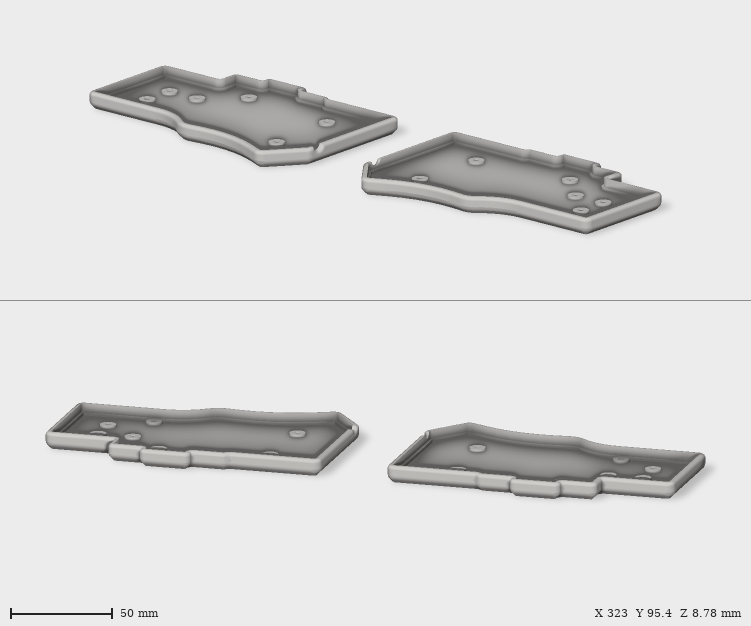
import cadquery as cq
import math

height = 8.78
floor_height = 3.0
ledge_height = 4.6
boss_height = 1.5

rim_fillet = 1.75
base_chamfer = 2.78
chamfer_blend = 2.75
wall_inset = 2.7
floor_inset = 4.0

x_left = -161.5
x_right = -17.0
y_bump = 47.65
y_ledge = 42.9
y_top = 41.0
y_shoulder = 31.15
y_bottom = -28.0
y_slant = -27.7
x_step = -125.4
x_bump_left = -107.9
x_bump_right = -82.1
x_ledge_end = -64.3
ledge_half_run = 1.3
x_ledge_high = x_ledge_end - ledge_half_run
x_ledge_low = x_ledge_end + ledge_half_run
corner_radius = 4.0
tip_radius = 4.7
bump_radius = 3.0
inner_radius = 1.0

bend_start = (-116.6, y_bottom)
shoulder_radius = 30.0
shoulder_angle = 41.0
hollow_radius = 12.0
rise_angle = 5.9
rise_length = 6.8
arch_radius = 69.5
fall_angle = 25.05
tip_run = 12.19

notch_y = -21.1
notch_radius = 3.5
notch_axis_height = height + 0.8
notch_reach = 10.0

boss_diameter = 8.05
hole_diameter = 3.25
hole_depth = 3.0
boss_root = 0.5
boss_centres = [
    (-139.9, 9.9),
    (-122.1, 9.9),
    (-139.9, -7.1),
    (-103.6, 27.4),
    (-48.2, 21.5),
    (-119.9, -19.2),
    (-46.2, -19.1),
]

pick = 0.1
height_pick = 0.01
far = 500.0
overshoot = 1.0


def arc_step(start, heading, turn, radius):
    """Middle and end of an arc that leaves start along heading and turns by turn (degrees)."""
    side = math.copysign(1, turn)
    first = math.radians(heading)

    def point(angle):
        last = math.radians(heading + angle)
        x = start[0] + side * radius * (math.sin(last) - math.sin(first))
        y = start[1] - side * radius * (math.cos(last) - math.cos(first))
        return (x, y)

    return point(turn / 2), point(turn)


def line_step(start, heading, length):
    """End of a straight line of the given length along heading (degrees)."""
    angle = math.radians(heading)
    return (start[0] + length * math.cos(angle), start[1] + length * math.sin(angle))


shoulder_mid, shoulder_end = arc_step(bend_start, 0, -shoulder_angle, shoulder_radius)
hollow_mid, hollow_end = arc_step(
    shoulder_end, -shoulder_angle, shoulder_angle + rise_angle, hollow_radius
)
rise_end = line_step(hollow_end, rise_angle, rise_length)
arch_mid, arch_end = arc_step(rise_end, rise_angle, -rise_angle - fall_angle, arch_radius)
tip = line_step(arch_end, -fall_angle, tip_run)


def round_corners(prism, corners, radius):
    """Round the upright edges of the prism that stand at the given corners."""
    for x, y in corners:
        column = cq.selectors.BoxSelector(
            (x - pick, y - pick, -overshoot), (x + pick, y + pick, height + overshoot)
        )
        prism = prism.edges("|Z").edges(column).fillet(radius)
    return prism


def make_blank():
    """Full-height prism of the tray outline with its corners rounded."""
    prism = (
        cq.Workplane("XY")
        .moveTo(x_left, y_bottom)
        .lineTo(*bend_start)
        .threePointArc(shoulder_mid, shoulder_end)
        .threePointArc(hollow_mid, hollow_end)
        .lineTo(*rise_end)
        .threePointArc(arch_mid, arch_end)
        .lineTo(*tip)
        .lineTo(x_right, y_slant)
        .lineTo(x_right, y_top)
        .lineTo(x_ledge_low, y_top)
        .lineTo(x_ledge_high, y_ledge)
        .lineTo(x_bump_right, y_ledge)
        .lineTo(x_bump_right, y_bump)
        .lineTo(x_bump_left, y_bump)
        .lineTo(x_bump_left, y_ledge)
        .lineTo(x_step, y_ledge)
        .lineTo(x_step, y_shoulder)
        .lineTo(x_left, y_shoulder)
        .close()
        .extrude(height)
    )
    main_corners = [(x_left, y_bottom), (x_left, y_shoulder), (x_right, y_top), (x_right, y_slant)]
    bump_corners = [
        (x_bump_left, y_bump),
        (x_bump_right, y_bump),
        (x_step, y_ledge),
        (x_ledge_high, y_ledge),
    ]
    inner_corners = [
        (x_bump_left, y_ledge),
        (x_bump_right, y_ledge),
        (x_step, y_shoulder),
        (x_ledge_low, y_top),
    ]
    prism = round_corners(prism, main_corners, corner_radius)
    prism = round_corners(prism, [tip], tip_radius)
    prism = round_corners(prism, bump_corners, bump_radius)
    return round_corners(prism, inner_corners, inner_radius)


def soften_edges(blank):
    """Chamfer the base, blend the chamfer into the wall and round the outside of the rim."""
    chamfer_top = cq.selectors.BoxSelector(
        (-far, -far, base_chamfer - height_pick),
        (far, far, base_chamfer + height_pick),
        boundingbox=True,
    )
    body = blank.faces("<Z").edges().chamfer(base_chamfer)
    body = body.edges(chamfer_top).fillet(chamfer_blend)
    return body.faces(">Z").edges().fillet(rim_fillet)


def make_pocket(rim_outline, inset, bottom):
    """Pocket that follows the outline at a constant inset, open at the top."""
    lowered = rim_outline.moved(cq.Location(cq.Vector(0, 0, bottom - height)))
    return cq.Workplane("XY").add(lowered).toPending().offset2D(-inset).extrude(height)


def make_notch():
    """Round trough along X that flares at the outer wall to carry the rim rounding through it."""
    flare_radius = notch_radius + rim_fillet
    return (
        cq.Workplane("XY", origin=(x_right, notch_y, notch_axis_height))
        .moveTo(-notch_reach, 0)
        .lineTo(-notch_reach, notch_radius)
        .lineTo(-rim_fillet, notch_radius)
        .radiusArc((0, flare_radius), -rim_fillet)
        .lineTo(overshoot, flare_radius)
        .lineTo(overshoot, 0)
        .close()
        .revolve(360, (0, 0, 0), (1, 0, 0))
    )


def make_bosses():
    return (
        cq.Workplane("XY")
        .workplane(offset=floor_height - boss_root)
        .pushPoints(boss_centres)
        .circle(boss_diameter / 2)
        .extrude(boss_height + boss_root)
    )


def make_holes():
    return (
        cq.Workplane("XY")
        .workplane(offset=floor_height + boss_height)
        .pushPoints(boss_centres)
        .circle(hole_diameter / 2)
        .extrude(-hole_depth)
    )


def make_tray():
    """Left tray: a stepped pocket inside a rounded wall, with bosses on its floor."""
    blank = make_blank()
    rim_outline = blank.faces(">Z").wires().val()
    body = soften_edges(blank)
    for inset, bottom in ((wall_inset, ledge_height), (floor_inset, floor_height)):
        body = body.cut(make_pocket(rim_outline, inset, bottom))
    body = body.cut(make_notch())
    return body.union(make_bosses()).cut(make_holes())


left_tray = make_tray()
right_tray = left_tray.mirror("YZ")

result = cq.Compound.makeCompound([left_tray.val(), right_tray.val()])